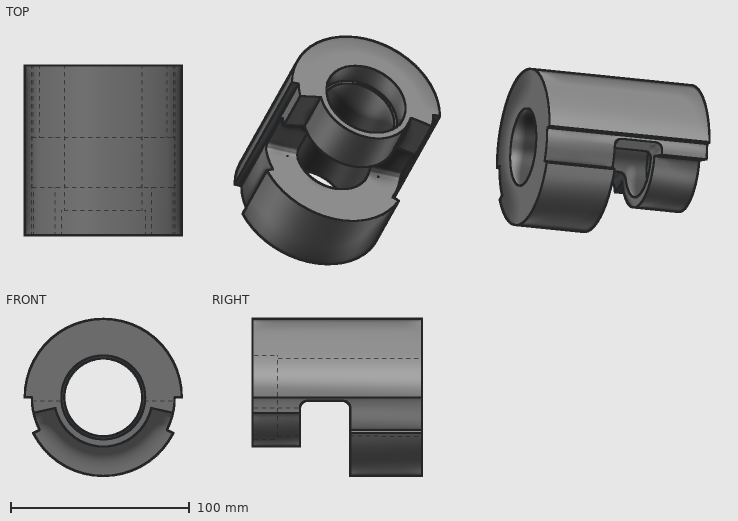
import cadquery as cq
import math

length = 95.0
outer_radius = 44.0
bore_radius = 21.75
front_y = -length / 2
back_y = length / 2

counterbore_radius = 23.5
counterbore_depth = 14.0

groove_radius = 40.0
groove_end_angle = 27.0

collar_radius = 27.5
collar_start_angle = 12.5
collar_length = 26.7

slot_front_y = front_y + collar_length
slot_width = 28.0
slot_top_z = -2.0
slot_corner_radius = 4.0
slot_back_y = slot_front_y + slot_width


def cylinder(radius, start_y, end_y):
    """Solid cylinder about the Y axis between two Y positions."""
    return cq.Workplane("XZ", origin=(0, start_y, 0)).circle(radius).extrude(start_y - end_y)


def polar_point(radius, angle):
    """X and Z of a point at an angle in degrees, counterclockwise from +X."""
    return (radius * math.cos(math.radians(angle)), radius * math.sin(math.radians(angle)))


def ring_sector(inner_radius, sector_radius, start_angle, end_angle, start_y, end_y):
    """Part of a ring about the Y axis, bounded by two radial faces."""
    middle_angle = (start_angle + end_angle) / 2
    return (
        cq.Workplane("XZ", origin=(0, start_y, 0))
        .moveTo(*polar_point(inner_radius, start_angle))
        .lineTo(*polar_point(sector_radius, start_angle))
        .threePointArc(polar_point(sector_radius, middle_angle), polar_point(sector_radius, end_angle))
        .lineTo(*polar_point(inner_radius, end_angle))
        .threePointArc(polar_point(inner_radius, middle_angle), polar_point(inner_radius, start_angle))
        .close()
        .extrude(start_y - end_y)
    )


def cut_side_grooves(body):
    """Cut a shallow groove along each side, just below the horizontal centre plane."""
    right_groove = ring_sector(groove_radius, outer_radius, -groove_end_angle, 0, front_y, back_y)
    return body.cut(right_groove).cut(right_groove.mirror("YZ"))


def cut_collar(body):
    """Remove the lower part of the front end around the collar."""
    relief = ring_sector(
        collar_radius, outer_radius, collar_start_angle - 180, -collar_start_angle, front_y, slot_back_y
    )
    return body.cut(relief)


def cut_cross_slot(body):
    """Cut the slot across the underside, with rounded upper corners."""
    slot = (
        cq.Workplane("XY")
        .box(2 * outer_radius, slot_width, outer_radius, centered=(True, False, False))
        .translate((0, slot_front_y, slot_top_z - outer_radius))
        .edges("|X and >Z")
        .fillet(slot_corner_radius)
    )
    return body.cut(slot)


def cut_bore(body):
    """Cut the through bore and the wider counterbore at the front."""
    bore = cylinder(bore_radius, front_y, back_y)
    counterbore = cylinder(counterbore_radius, front_y, front_y + counterbore_depth)
    return body.cut(bore).cut(counterbore)


result = cylinder(outer_radius, front_y, back_y)
result = cut_side_grooves(result)
result = cut_collar(result)
result = cut_cross_slot(result)
result = cut_bore(result)